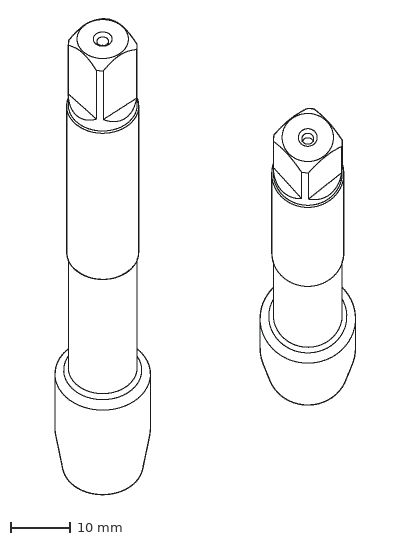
import cadquery as cq
import math

total_length = 110.0
taper_length = 9.0
head_rim = 23.3
head_length = 24.3
neck_start = 25.0
grip_start = 54.6
grip_end = 93.0
flats_start = 95.9

head_diameter = 16.2
tip_diameter = 13.8
joint_diameter = 13.2
neck_diameter = 11.7
grip_diameter = 12.2
drive_top_diameter = 8.7

square_width = 9.0
centre_diameter = 2.0
centre_mouth_diameter = 3.2
centre_depth = 2.8
drill_point_angle = 120.0

head_radius = head_diameter / 2
neck_radius = neck_diameter / 2
grip_radius = grip_diameter / 2
grip_chamfer = grip_radius - neck_radius
drive_chamfer = (neck_diameter - drive_top_diameter) / 2


def turned(profile):
    """Revolve a (radius, height) profile about the tool axis."""
    return cq.Workplane("XZ").polyline(profile).close().revolve(360, (0, 0, 0), (0, 1, 0))


def make_cutting_head():
    """Cylindrical head with a tapered lead-in at the tip and a bevelled rear end."""
    return turned([
        (0, 0),
        (tip_diameter / 2, 0),
        (head_radius, taper_length),
        (head_radius, head_rim),
        (joint_diameter / 2, head_length),
        (0, head_length),
    ])


def make_shank_blank():
    """Stepped round shank, from its flared foot to the chamfered drive end."""
    return turned([
        (0, head_length),
        (joint_diameter / 2, head_length),
        (neck_radius, neck_start),
        (neck_radius, grip_start),
        (grip_radius, grip_start + grip_chamfer),
        (grip_radius, grip_end - grip_chamfer),
        (neck_radius, grip_end),
        (neck_radius, total_length - drive_chamfer),
        (drive_top_diameter / 2, total_length),
        (0, total_length),
    ])


def make_flat_cutter():
    """Material removed for one drive flat on +X, with a 45 degree run-out below it."""
    flat_distance = square_width / 2
    run_out = grip_radius - flat_distance
    profile = [
        (flat_distance, total_length),
        (flat_distance, flats_start),
        (grip_radius, flats_start - run_out),
        (grip_radius, total_length),
    ]
    return cq.Workplane("XZ").polyline(profile).close().extrude(neck_radius, both=True)


def make_centre_hole():
    """Countersunk centre drilling in the drive end, with a conical bottom."""
    centre_radius = centre_diameter / 2
    mouth_radius = centre_mouth_diameter / 2
    countersink_depth = mouth_radius - centre_radius
    point_depth = centre_radius / math.tan(math.radians(drill_point_angle / 2))
    return turned([
        (0, total_length),
        (mouth_radius, total_length),
        (centre_radius, total_length - countersink_depth),
        (centre_radius, total_length - centre_depth),
        (0, total_length - centre_depth - point_depth),
    ])


def make_shank():
    """Shank with four drive flats and the centre hole."""
    shank = make_shank_blank()
    flat_cutter = make_flat_cutter()
    for angle in (0, 90, 180, 270):
        shank = shank.cut(flat_cutter.rotate((0, 0, 0), (0, 0, 1), angle))
    return shank.cut(make_centre_hole())


cutting_head = make_cutting_head()
shank = make_shank()

result = cq.Compound.makeCompound([cutting_head.val(), shank.val()])